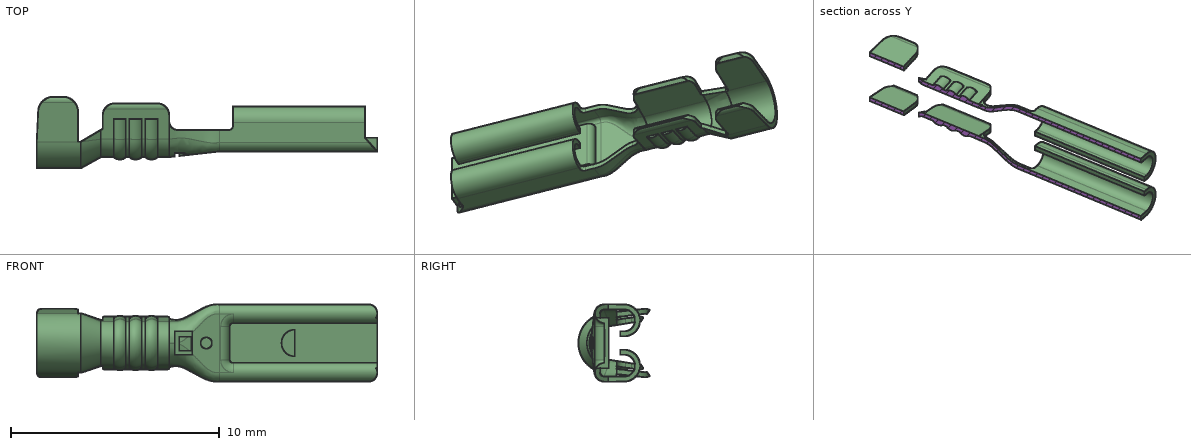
import cadquery as cq
import math

sheet = 0.25
length = 16.31
height = 3.43

insulation_end = 1.99
insulation_flat_end = 2.12
insulation_radius = 1.44
insulation_lean = 6.4
insulation_bend_y = 3.165

core_start = 3.16
core_end = 6.35
core_flat_start = 3.08
core_floor = 0.53
core_radius = 1.05
core_lean = 9.3
core_bend_y = 2.86
core_top = 3.11

tip_radius = 0.37
tip_sweep = 42.0

rib_count = 3
rib_pitch = 0.76
rib_first = 3.98
rib_half_width = 0.295
rib_height = 0.12
rib_top = 2.36

box_start = 8.75
box_floor = 0.80
box_half_width = 1.853
roll_radius = 0.45
roll_center_z = box_half_width - roll_radius
roll_center_y = box_floor + roll_radius
curl_radius = 0.77
curl_center_y = 2.19
curl_tip_y = 2.00
curl_start = 9.39
curl_end = 15.73
neck_top = 1.84
neck_seed_half = 0.01
neck_straight_end = 6.65
neck_spread_end = 8.60

web_top = 1.47
web_step_radius = 0.30
recess_corner_radius = 0.15
recess_half_width = roll_center_z - roll_radius
recess_start = box_start + 0.05 + roll_radius
end_bevel_top = 1.44

hole_x = 8.12
hole_radius = 0.27
mark_depth = 0.02
latch_flat_x = 12.36
latch_radius = 0.64
stamp_start = 6.62
stamp_end = 7.45
stamp_half_width = 0.57
stamp_floor = 0.74
stamp_pad_start = 6.82
stamp_pad_end = 7.40
stamp_pad_low = -0.37
stamp_pad_high = 0.30


def polar(center, radius, degrees):
    """Point in (y, z) at an angle measured from -Y toward +Z."""
    angle = math.radians(degrees)
    return (center[0] - radius * math.cos(angle), center[1] + radius * math.sin(angle))


def flip(point):
    """Mirror a (y, z) point in the symmetry plane."""
    return (point[0], -point[1])


def section_plane(x):
    """Plane across the part at x; local coordinates are (y, z)."""
    return cq.Workplane("YZ", origin=(x, 0, 0))


def block(x_start, x_end, y_start, y_end, z_start, z_end):
    """Box between two corners."""
    size = (x_end - x_start, y_end - y_start, z_end - z_start)
    return cq.Workplane("XY").box(*size, centered=False).translate((x_start, y_start, z_start))


def along_lean(point, lean, y):
    """Follow a wall leaning outward from point up to level y."""
    return (y, point[1] + (y - point[0]) * math.tan(math.radians(lean)))


def trough_wire(work, floor, floor_half, radius, lean, top, inset=0.0):
    """Closed U section with leaning walls; the floor is flat if floor_half is not zero."""
    center = (floor + radius, floor_half)
    arc_end = 90 - lean
    low = polar(center, radius - inset, 0)
    middle = polar(center, radius - inset, arc_end / 2)
    foot = polar(center, radius - inset, arc_end)
    wall = along_lean(foot, lean, top)
    work = work.moveTo(*flip(wall)).lineTo(*flip(foot))
    if floor_half > 0:
        work = work.threePointArc(flip(middle), flip(low)).lineTo(*low).threePointArc(middle, foot)
    else:
        work = work.threePointArc(low, foot)
    return work.lineTo(*wall).close()


def trough_loft(stations):
    """Sheet trough through stations of (x, floor, floor_half, radius, lean)."""
    solids = []
    for inset, top in ((0.0, height), (sheet, height + sheet)):
        work = section_plane(stations[0][0])
        x_previous = stations[0][0]
        for x, floor, floor_half, radius, lean in stations:
            work = work.workplane(offset=x - x_previous)
            work = trough_wire(work, floor, floor_half, radius, lean, top, inset)
            x_previous = x
        solids.append(work.loft(combine=True))
    return solids[0].cut(solids[1])


def barrel(x_start, x_end, floor, radius, lean, bend_y):
    """Open crimp barrel whose wing tips bend inward."""
    center = (floor + radius, 0)
    arc_end = 90 - lean
    bend = along_lean(polar(center, radius, arc_end), lean, bend_y)
    tip_center = polar(bend, tip_radius, arc_end + 180)
    tip_end = arc_end + tip_sweep
    tip_middle = arc_end + tip_sweep / 2

    def wing(inset):
        """Wall foot, start, middle and end of the tip bend on one face of the sheet."""
        tip = tip_radius - inset
        return (
            polar(center, radius - inset, arc_end),
            polar(tip_center, tip, arc_end),
            polar(tip_center, tip, tip_middle),
            polar(tip_center, tip, tip_end),
        )

    foot, bend_start, bend_middle, bend_end = wing(0.0)
    inner_foot, inner_start, inner_middle, inner_end = wing(sheet)
    return (
        section_plane(x_start)
        .moveTo(*flip(bend_end))
        .threePointArc(flip(bend_middle), flip(bend_start))
        .lineTo(*flip(foot))
        .threePointArc((floor, 0), foot)
        .lineTo(*bend_start)
        .threePointArc(bend_middle, bend_end)
        .lineTo(*inner_end)
        .threePointArc(inner_middle, inner_start)
        .lineTo(*inner_foot)
        .threePointArc((floor + sheet, 0), flip(inner_foot))
        .lineTo(*flip(inner_start))
        .threePointArc(flip(inner_middle), flip(inner_end))
        .close()
        .extrude(x_end - x_start)
    )


def rib(x):
    """Rounded bead following the outside of the wire barrel."""
    center = (core_floor + core_radius, 0)
    foot = polar(center, core_radius, 90 - core_lean)
    top = along_lean(foot, core_lean, rib_top)
    path = (
        section_plane(x)
        .moveTo(*top)
        .lineTo(*foot)
        .threePointArc((core_floor, 0), flip(foot))
        .lineTo(*flip(top))
    )
    lean = math.radians(core_lean)
    outward = (0, -math.sin(lean), math.cos(lean))
    along_wall = (0, math.cos(lean), math.sin(lean))
    root = -sheet / 2
    profile = (
        cq.Workplane(cq.Plane(origin=(x, *top), xDir=outward, normal=along_wall))
        .moveTo(root, -rib_half_width)
        .lineTo(0, -rib_half_width)
        .threePointArc((rib_height, 0), (0, rib_half_width))
        .lineTo(root, rib_half_width)
        .close()
    )
    return profile.sweep(path)


def rear_transition():
    """Trough that rises and narrows between the two barrels."""
    return trough_loft(
        [
            (insulation_flat_end, 0.0, 0.0, insulation_radius, insulation_lean),
            (core_flat_start, core_floor, 0.0, core_radius, core_lean),
        ]
    )


def neck():
    """Trough that flattens and spreads from the wire barrel to the box."""
    def station(x):
        rise = (x - core_end) / (box_start - core_end)
        linear = (x - neck_straight_end) / (neck_spread_end - neck_straight_end)
        linear = min(max(linear, 0.0), 1.0)
        spread = linear * linear * (3 - 2 * linear)

        def blend(first, last, share):
            return first + (last - first) * share

        return (
            x,
            blend(core_floor, box_floor, rise),
            blend(neck_seed_half, roll_center_z, spread),
            blend(core_radius, roll_radius, spread),
            blend(core_lean, 0.0, spread),
        )

    steps = 8
    pitch = (box_start - core_end) / steps
    return trough_loft([station(core_end + i * pitch) for i in range(steps + 1)])


def box_half(sign):
    """Half of the box: floor, rounded lower edge, side wall and inward curl."""
    roll = (roll_center_y, roll_center_z)
    curl = (curl_center_y, box_half_width - curl_radius)

    def at(center, radius, degrees):
        y, z = polar(center, radius, degrees)
        return (y, sign * z)

    roll_inner = roll_radius - sheet
    curl_inner = curl_radius - sheet
    tip_outer = box_half_width - 2 * curl_radius
    return (
        section_plane(box_start)
        .moveTo(box_floor, 0)
        .lineTo(*at(roll, roll_radius, 0))
        .threePointArc(at(roll, roll_radius, 45), at(roll, roll_radius, 90))
        .lineTo(*at(curl, curl_radius, 90))
        .threePointArc(at(curl, curl_radius, 180), at(curl, curl_radius, 270))
        .lineTo(curl_tip_y, sign * tip_outer)
        .lineTo(curl_tip_y, sign * (tip_outer + sheet))
        .lineTo(*at(curl, curl_inner, 270))
        .threePointArc(at(curl, curl_inner, 180), at(curl, curl_inner, 90))
        .lineTo(*at(roll, roll_inner, 90))
        .threePointArc(at(roll, roll_inner, 45), at(roll, roll_inner, 0))
        .lineTo(box_floor + sheet, 0)
        .close()
        .extrude(length - box_start)
    )


def web_block():
    """Pad inside the box that becomes the raised web once it is recessed."""
    half_width = recess_half_width + sheet
    pad = block(recess_start - sheet, length, box_floor, web_top, -half_width, half_width)
    return pad.edges("<X and >Y").fillet(web_step_radius)


def web_recess():
    """Tool for the underside recess, with a flared rim of the roll radius."""
    corner_x = recess_start + recess_corner_radius
    corner_z = recess_half_width - recess_corner_radius
    rim = recess_corner_radius + roll_radius
    flare_bulge = roll_radius * math.sqrt(0.5)

    def flare(work):
        """Half profile of the flared rim, measured from the corner axis."""
        return (
            work.lineTo(rim, 0)
            .threePointArc(
                (rim - flare_bulge, roll_radius - flare_bulge),
                (recess_corner_radius, roll_radius),
            )
            .lineTo(0, roll_radius)
            .close()
        )

    reach = length - corner_x
    tool = block(corner_x, length, box_floor, box_floor + roll_radius, -corner_z, corner_z)
    for sign in (1, -1):
        origin = (corner_x, box_floor, sign * corner_z)
        side = cq.Plane(origin=origin, xDir=(0, 0, sign), normal=(-sign, 0, 0))
        tool = tool.union(flare(cq.Workplane(side)).extrude(-sign * reach))
        tool = tool.union(flare(cq.Workplane(side)).revolve(360, (0, 0), (0, 1)))
    step = cq.Plane(origin=(corner_x, box_floor, -corner_z), xDir=(-1, 0, 0), normal=(0, 0, -1))
    return tool.union(flare(cq.Workplane(step)).extrude(-2 * corner_z))


def end_bevels():
    """Tools that slope the mating ends of the two rolls."""
    inner = recess_half_width + sheet
    wedge = (
        cq.Workplane("XY")
        .moveTo(curl_end, end_bevel_top)
        .lineTo(length, box_floor)
        .lineTo(length, height)
        .lineTo(curl_end, height)
        .close()
        .extrude(box_half_width)
    )
    wedge = wedge.translate((0, 0, inner))
    return wedge.union(wedge.mirror("XY"))


def side_outline():
    """Side silhouette, extruded across the width, that trims every top edge."""
    wing_slant = 0.10
    insulation_corner = 0.75
    core_corner = 0.58
    insulation_side_y = insulation_radius * (1 - math.sin(math.radians(insulation_lean)))
    transition_top = 1.89
    neck_fillet = 0.40
    wall_fillet = 0.18
    outline = (
        cq.Workplane("XY")
        .moveTo(0, -height)
        .lineTo(0, insulation_side_y)
        .lineTo(wing_slant, height)
        .lineTo(insulation_end, height)
        .lineTo(insulation_end, insulation_side_y)
        .lineTo(insulation_flat_end, insulation_side_y)
        .lineTo(core_start, transition_top)
        .lineTo(core_start, core_top)
        .lineTo(core_end, core_top)
        .lineTo(core_end, neck_top)
        .lineTo(curl_start, neck_top)
        .lineTo(curl_start, height)
        .lineTo(curl_end, height)
        .lineTo(curl_end, web_top)
        .lineTo(length, web_top)
        .lineTo(length, -height)
        .close()
        .extrude(height, both=True)
    )

    def round_edge(solid, x, y, radius):
        size = 0.02
        corner = cq.selectors.BoxSelector((x - size, y - size, -size), (x + size, y + size, size))
        return solid.edges("|Z").edges(corner).fillet(radius)

    for x, y, radius in (
        (wing_slant, height, insulation_corner),
        (insulation_end, height, insulation_corner),
        (core_start, core_top, core_corner),
        (core_end, core_top, core_corner),
        (core_end, neck_top, neck_fillet),
        (curl_start, neck_top, wall_fillet),
    ):
        outline = round_edge(outline, x, y, radius)
    return outline


def underside_disc(x, radius, level):
    """Round tool rising from Y = 0 to the given level."""
    return cq.Workplane("XZ", origin=(x, level, 0)).circle(radius).extrude(level)


def underside_marks():
    """Tools for the shallow dimple, half-round latch mark and stamped frame."""
    dimple = underside_disc(hole_x, hole_radius, box_floor + mark_depth)
    latch_level = box_floor + roll_radius + mark_depth
    latch = underside_disc(latch_flat_x, latch_radius, latch_level).intersect(
        block(latch_flat_x - latch_radius, latch_flat_x, 0, latch_level, -latch_radius, latch_radius)
    )
    stamp = block(stamp_start, stamp_end, 0, stamp_floor, -stamp_half_width, stamp_half_width)
    pad = block(stamp_pad_start, stamp_pad_end, 0, stamp_floor, stamp_pad_low, stamp_pad_high)
    return dimple.union(latch).union(stamp.cut(pad))


body = barrel(0, insulation_flat_end, 0.0, insulation_radius, insulation_lean, insulation_bend_y)
body = body.union(rear_transition())
body = body.union(barrel(core_flat_start, core_end, core_floor, core_radius, core_lean, core_bend_y))
body = body.union(neck())
body = body.union(box_half(1)).union(box_half(-1)).union(web_block())
body = body.cut(web_recess()).cut(end_bevels())
body = body.intersect(side_outline())
for index in range(rib_count):
    body = body.union(rib(rib_first + index * rib_pitch))
result = body.cut(underside_marks())